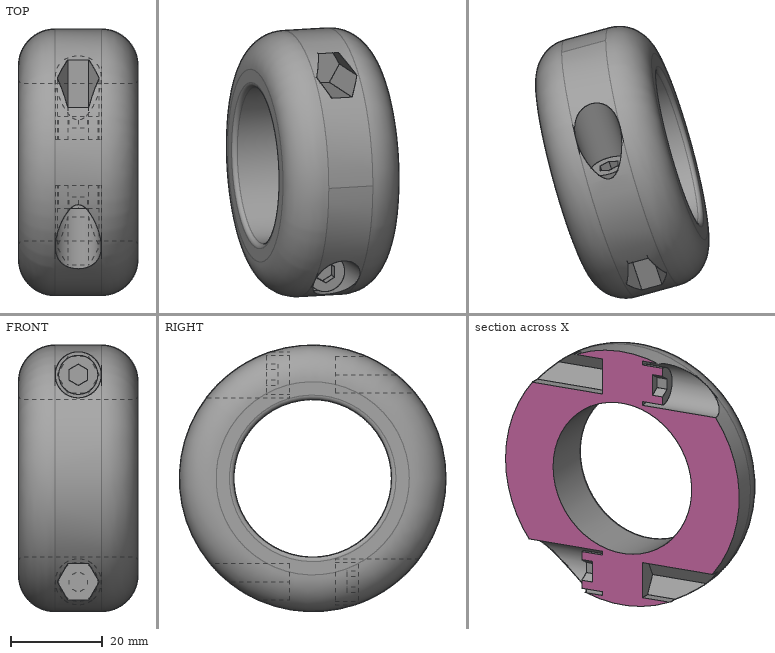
import cadquery as cq
import math

ring_width = 26.0
ring_radius = 29.0
bore_radius = 34.2 / 2
outer_fillet = 8.0
bore_fillet = 1.0

screw_offset = 22.5
seat_distance = 5.0
counterbore_diameter = 10.0
head_diameter = 8.5
head_length = 5.0
head_face_distance = seat_distance + head_length
socket_across_flats = 4.0
socket_depth = 2.5

nut_across_flats = 7.9

hexagon_sides = 6
recess_depth = ring_radius - seat_distance


def across_corners(across_flats):
    return across_flats / math.cos(math.pi / hexagon_sides)


def screw_plane(y, normal_y):
    """Workplane on the upper screw axis at the given y, with its normal along +Y or -Y."""
    return cq.Workplane(cq.Plane((0, y, screw_offset), (1, 0, 0), (0, normal_y, 0)))


def make_ring():
    end_plane = cq.Workplane("YZ", origin=(-ring_width / 2, 0, 0))
    ring = end_plane.circle(ring_radius).extrude(ring_width).edges("%CIRCLE").fillet(outer_fillet)
    ring = ring.cut(end_plane.circle(bore_radius).extrude(ring_width))
    return ring.faces("|X").edges(cq.selectors.RadiusNthSelector(0)).fillet(bore_fillet)


def make_counterbore():
    return screw_plane(-seat_distance, -1).circle(counterbore_diameter / 2).extrude(recess_depth)


def make_screw_head():
    """Socket head standing on the counterbore floor, its hexagon corners up and down."""
    head = screw_plane(-seat_distance, -1).circle(head_diameter / 2).extrude(head_length)
    socket_plane = screw_plane(-head_face_distance, -1).transformed(rotate=(0, 0, 90))
    socket_corners = across_corners(socket_across_flats)
    socket = socket_plane.polygon(hexagon_sides, socket_corners).extrude(-socket_depth)
    return head.cut(socket)


def make_nut_pocket():
    """Hexagonal pocket open toward +Y, with flats at top and bottom."""
    nut_corners = across_corners(nut_across_flats)
    return screw_plane(seat_distance, 1).polygon(hexagon_sides, nut_corners).extrude(recess_depth)


def about_ring_axis(body, angle):
    return body.rotate((0, 0, 0), (1, 0, 0), angle)


result = make_ring()
for angle in (0, 180):
    result = result.cut(about_ring_axis(make_counterbore(), angle))
    result = result.cut(about_ring_axis(make_nut_pocket(), angle))
    result = result.union(about_ring_axis(make_screw_head(), angle))